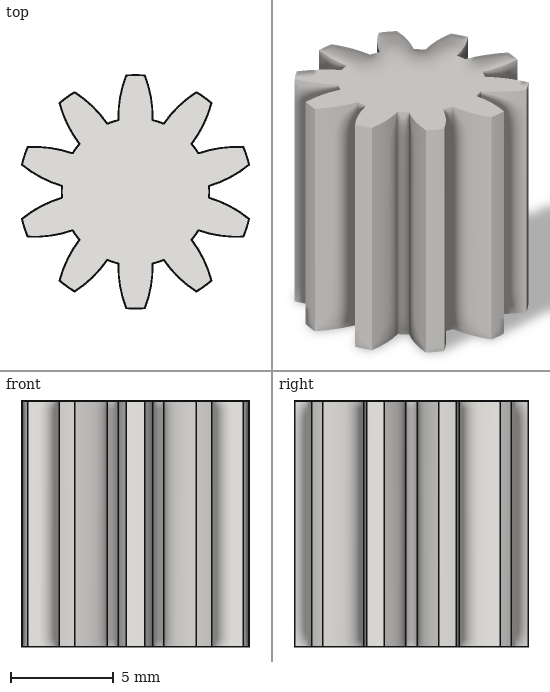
import cadquery as cq
import math

tooth_count = 10
height = 12.0
outer_diameter = 11.4
root_radius = 3.6

root_half_width = 0.84
middle_half_width = 0.73
tip_half_width = 0.45
middle_radius = 4.74
tip_radius = outer_diameter / 2

tip_corner = math.sqrt(tip_radius**2 - tip_half_width**2)
root_flank_start = math.sqrt(root_radius**2 - root_half_width**2)


def make_tooth():
    """One tooth along +Y with a rounded tip and convex flanks, overlapping the core."""
    return (
        cq.Workplane("XY")
        .moveTo(-root_half_width, 0)
        .lineTo(-root_half_width, root_flank_start)
        .threePointArc((-middle_half_width, middle_radius), (-tip_half_width, tip_corner))
        .threePointArc((0, tip_radius), (tip_half_width, tip_corner))
        .threePointArc((middle_half_width, middle_radius), (root_half_width, root_flank_start))
        .lineTo(root_half_width, 0)
        .close()
        .extrude(height)
    )


result = cq.Workplane("XY").circle(root_radius).extrude(height)
tooth = make_tooth()
for index in range(tooth_count):
    angle = index * 360 / tooth_count
    result = result.union(tooth.rotate((0, 0, 0), (0, 0, 1), angle))